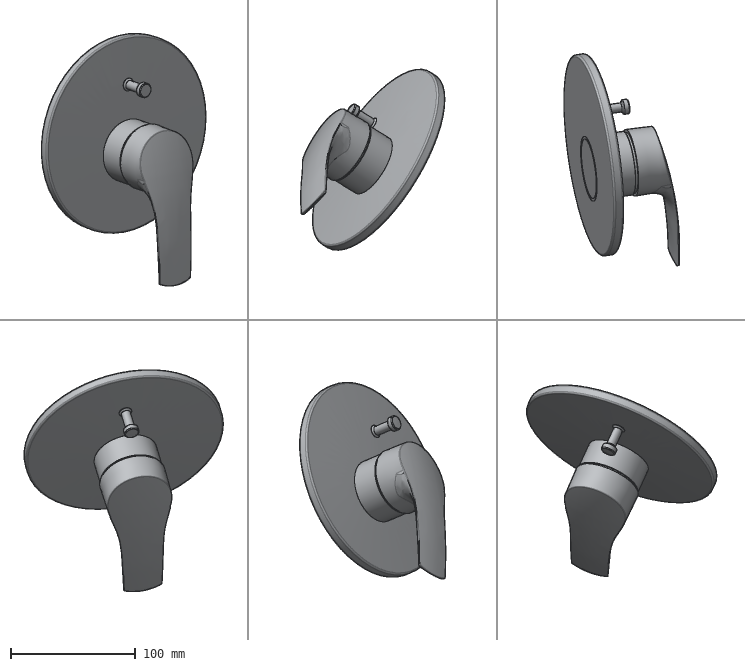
import cadquery as cq
import math


plate_radius = 163.0 / 2
rim_thickness = 8.3
plate_crest = 11.0
back_edge_radius = 1.5
rim_edge_radius = 1.4

knob_z = 42.1
stem_radius = 7.5 / 2
knob_radius = 12.0 / 2
knob_neck_radius = 9.9 / 2
knob_foot_radius = 5.2
knob_foot_x = 10.5
stem_start_x = 11.8
stem_end_x = 26.7
knob_start_x = 27.6
knob_end_x = 32.8
knob_bevel = 0.8
knob_crown = 0.2

body_z = -12.8
sleeve_radius = 25.9
sleeve_end_x = 32.3
groove_radius = 24.7
handle_start_x = 34.4
handle_root_radius = 27.0
handle_tip_radius = 26.3

seam_outer_radius = 26.3
seam_inner_radius = 24.2
seam_depth = 0.2

overall_length = 193.2
face_crest_x = 72.3
face_crest_z = -93.7
face_profile_radius = 355.5
face_crown_radius = 125.5
face_edge_radius = 0.48

lever_bottom_z = plate_radius - overall_length
lever_end_half_width = 15.8
lever_side_end_z = -108.2
tip_corner_radius = 2.3
tip_back_x = 67.8
tip_back_z = -107.2
tip_front_x = 71.3
lever_overshoot = 4.8
lever_stations = [
    (59.9, body_z, 41.0, -39.2, 26.3),
    (64.1, -26.0, 51.8, -39.6, 23.8),
    (67.0, -39.6, 59.5, -45.0, 20.0),
    (69.0, -58.0, 64.0, -60.3, 17.5),
    (69.7, -81.1, 66.7, -83.0, 16.6),
    (70.3, -99.5, 67.6, -100.5, 16.0),
    (70.3, -112.5, 68.2, -113.0, 15.6),
]


def revolve_about_x(sketch, axis_z):
    """Revolve a closed X-radius half profile about a line parallel to X."""
    return sketch.close().revolve(360, (0, 0, 0), (1, 0, 0)).translate((0, 0, axis_z))


def make_plate():
    rim_radius = plate_radius - rim_edge_radius
    half_chord = rim_radius / 2
    crest_radius = (rim_radius**2 + (plate_crest - rim_thickness)**2) / (2 * (plate_crest - rim_thickness))
    mid_x = plate_crest - crest_radius + math.sqrt(crest_radius**2 - half_chord**2)
    profile = (
        cq.Workplane("XY")
        .lineTo(0, plate_radius - back_edge_radius)
        .radiusArc((back_edge_radius, plate_radius), back_edge_radius)
        .lineTo(rim_thickness - rim_edge_radius, plate_radius)
        .radiusArc((rim_thickness, rim_radius), rim_edge_radius)
        .threePointArc((mid_x, half_chord), (plate_crest, 0))
    )
    return revolve_about_x(profile, 0)


def make_knob():
    profile = (
        cq.Workplane("XY")
        .moveTo(rim_thickness, 0)
        .lineTo(rim_thickness, knob_foot_radius)
        .lineTo(knob_foot_x, knob_foot_radius)
        .lineTo(stem_start_x, stem_radius)
        .lineTo(stem_end_x, stem_radius)
        .lineTo(knob_start_x, knob_neck_radius)
        .lineTo(knob_start_x + knob_bevel, knob_radius)
        .lineTo(knob_end_x - knob_bevel, knob_radius)
        .lineTo(knob_end_x, knob_radius - knob_bevel)
        .lineTo(knob_end_x + knob_crown, 0)
    )
    return revolve_about_x(profile, knob_z)


def make_sleeve():
    profile = (
        cq.Workplane("XY")
        .moveTo(rim_thickness, 0)
        .lineTo(rim_thickness, sleeve_radius)
        .lineTo(sleeve_end_x, sleeve_radius)
        .lineTo(sleeve_end_x, groove_radius)
        .lineTo(handle_start_x, groove_radius)
        .lineTo(handle_start_x, 0)
    )
    return revolve_about_x(profile, body_z)


def make_handle_body():
    profile = (
        cq.Workplane("XY")
        .moveTo(handle_start_x, 0)
        .lineTo(handle_start_x, handle_root_radius)
        .lineTo(face_crest_x, handle_tip_radius)
        .lineTo(face_crest_x, 0)
    )
    return revolve_about_x(profile, body_z)


def lever_section(rim_x, rim_z, under_x, under_z, half_width):
    """Half ellipse bulging from the rim to the underside, capped by a box beyond the face."""
    outward = cq.Vector(rim_x - under_x, 0, rim_z - under_z)
    across = cq.Vector(0, 1, 0)
    plane = cq.Plane((rim_x, 0, rim_z), across, across.cross(outward))
    return (
        cq.Workplane(plane)
        .moveTo(-half_width, lever_overshoot)
        .lineTo(-half_width, 0)
        .ellipseArc(half_width, outward.Length, 180, 360, startAtCurrent=True)
        .lineTo(half_width, lever_overshoot)
        .close()
        .wires()
        .val()
    )


def make_tip_trim():
    """Region kept at the lever end: rounded outline crossed with the sloping end cut."""
    outline = (
        cq.Workplane("YZ")
        .moveTo(handle_root_radius, 0)
        .lineTo(lever_end_half_width, lever_side_end_z)
        .threePointArc((0, lever_bottom_z), (-lever_end_half_width, lever_side_end_z))
        .lineTo(-handle_root_radius, 0)
        .close()
        .extrude(overall_length)
    )
    tip_corners = cq.selectors.BoxSelector(
        (-2, -plate_radius, lever_side_end_z - 0.2),
        (overall_length + 2, plate_radius, lever_side_end_z + 0.2),
    )
    outline = outline.edges("|X").edges(tip_corners).fillet(tip_corner_radius)
    end_cut = (
        cq.Workplane("XZ")
        .moveTo(0, 0)
        .lineTo(0, tip_back_z)
        .lineTo(tip_back_x, tip_back_z)
        .lineTo(tip_front_x, lever_bottom_z)
        .lineTo(overall_length, lever_bottom_z)
        .lineTo(overall_length, 0)
        .close()
        .extrude(handle_root_radius, both=True)
    )
    return outline.intersect(end_cut)


def make_lever():
    sections = [lever_section(*station) for station in lever_stations]
    lever = cq.Workplane(cq.Solid.makeLoft(sections))
    return lever.intersect(make_tip_trim())


def make_face_envelope():
    """Barrel-shaped solid whose outside is the front face of the handle."""
    axis_x = face_crest_x - face_crown_radius

    def face_x(z):
        drop = math.sqrt(face_profile_radius**2 - (z - face_crest_z) ** 2)
        return face_crest_x - face_profile_radius + drop

    top_z = body_z + handle_root_radius + 2
    bottom_z = lever_bottom_z - 2
    return (
        cq.Workplane("XZ")
        .moveTo(axis_x, bottom_z)
        .lineTo(face_x(bottom_z), bottom_z)
        .threePointArc((face_crest_x, face_crest_z), (face_x(top_z), top_z))
        .lineTo(axis_x, top_z)
        .close()
        .revolve(360, (axis_x, 0, 0), (axis_x, 1, 0))
    )


def make_handle():
    handle = make_handle_body().union(make_lever())
    handle = handle.intersect(make_face_envelope())
    return handle.faces("%REVOLUTION").edges().fillet(face_edge_radius)


def make_seam():
    return (
        cq.Workplane("YZ")
        .center(0, body_z)
        .circle(seam_outer_radius)
        .circle(seam_inner_radius)
        .extrude(seam_depth)
    )


result = make_plate().union(make_knob()).union(make_sleeve()).union(make_handle()).cut(make_seam())